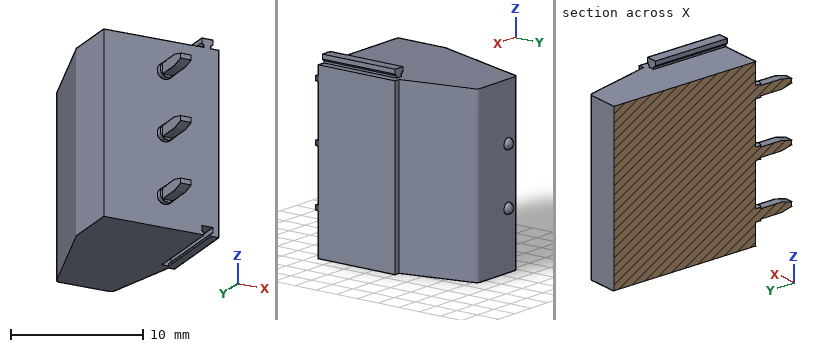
import cadquery as cq


pole_count = 3
pitch = 5.08

width = 9.8
depth = 13.8
height = pole_count * pitch
left_wall_depth = 4.55
left_back_inset = 3.0
right_back_inset = 2.03
ledge_width = 0.5
ledge_depth = 7.4
back_edge_radius = 0.37

rail_length = 7.0
rail_head_width = 0.96
rail_neck_width = 0.58
rail_height = 0.74
rail_neck_height = 0.17
rail_head_height = 0.39
rail_x = width - ledge_width - rail_head_width / 2

pin_x = 5.2
pin_size = 0.9
pin_tip_size = 0.4
pin_length = 3.5
pin_tip_length = 1.0
collar_diameter = 1.3
collar_length = 0.5

bump_x = 4.1
bump_radius = 0.5
bump_height = 0.4


def make_housing():
    outline = [
        (0, 0),
        (width, 0),
        (width, ledge_depth),
        (width - ledge_width, ledge_depth),
        (width - right_back_inset, depth),
        (left_back_inset, depth),
        (0, left_wall_depth),
    ]
    housing = cq.Workplane("XY").polyline(outline).close().extrude(height)
    return housing.faces(">Y").edges("|Z").fillet(back_edge_radius)


def make_rail(base_z):
    """Rail with a narrow neck and wide head, standing on base_z and starting at the front face."""
    head = rail_head_width / 2
    neck = rail_neck_width / 2
    head_bottom = rail_height - rail_head_height
    outline = [
        (-neck, 0),
        (neck, 0),
        (neck, rail_neck_height),
        (head, head_bottom),
        (head, rail_height),
        (-head, rail_height),
        (-head, head_bottom),
        (-neck, rail_neck_height),
    ]
    front_plane = cq.Workplane("XZ", origin=(rail_x, 0, base_z))
    return front_plane.polyline(outline).close().extrude(-rail_length)


def make_pin(z):
    """Round collar with a square pin whose tip tapers in Z only."""
    half = pin_size / 2
    tip_half = pin_tip_size / 2
    taper_start = pin_tip_length - pin_length
    outline = [
        (0, -half),
        (0, half),
        (taper_start, half),
        (-pin_length, tip_half),
        (-pin_length, -tip_half),
        (taper_start, -half),
    ]
    side_plane = cq.Workplane("YZ", origin=(pin_x, 0, z))
    blade = side_plane.polyline(outline).close().extrude(half, both=True)
    collar = cq.Workplane("XZ", origin=(pin_x, 0, z)).circle(collar_diameter / 2).extrude(collar_length)
    return collar.union(blade)


def make_bump(z):
    """Ball sunk into the back face so that only bump_height stands proud."""
    center_y = depth + bump_height - bump_radius
    return cq.Workplane("XY", origin=(bump_x, center_y, z)).sphere(bump_radius)


result = make_housing().cut(make_rail(0)).union(make_rail(height))

for pole in range(pole_count):
    result = result.union(make_pin((pole + 0.5) * pitch))

for gap in range(1, pole_count):
    result = result.union(make_bump(gap * pitch))